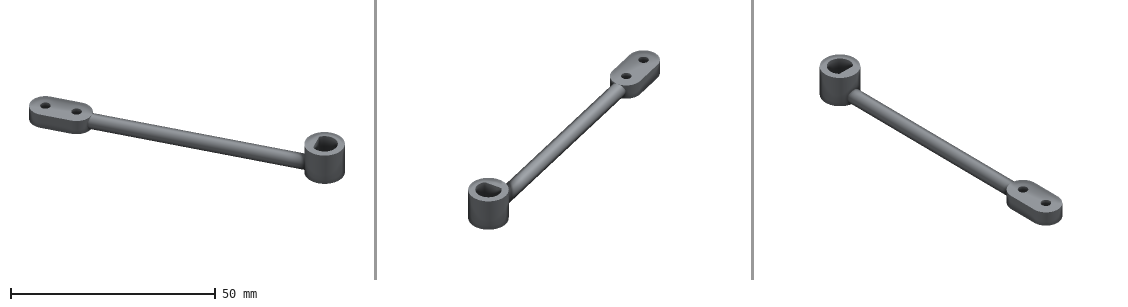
import cadquery as cq

total_length = 81.0
thickness = 4.0

plate_length = 16.0
plate_width = 8.0
plate_hole_diameter = 2.6

hub_diameter = 10.0
hub_height = 8.5
bore_diameter = 6.5
bore_flat_offset = 2.2

hub_radius = hub_diameter / 2
plate_center_x = hub_radius - total_length + plate_length / 2
hole_spacing = plate_length - plate_width


def make_plate():
    return (
        cq.Workplane("XY")
        .center(plate_center_x, 0)
        .slot2D(plate_length, plate_width)
        .extrude(thickness)
    )


def make_rod():
    """Round rod running from the plate center to the hub axis."""
    return (
        cq.Workplane("YZ", origin=(plate_center_x, 0, thickness / 2))
        .circle(thickness / 2)
        .extrude(-plate_center_x)
    )


def make_hub():
    return cq.Workplane("XY").circle(hub_radius).extrude(hub_height)


def make_plate_holes():
    return (
        cq.Workplane("XY")
        .center(plate_center_x, 0)
        .rarray(hole_spacing, 0.8, 2, 1)
        .circle(plate_hole_diameter / 2)
        .extrude(thickness)
    )


def make_bore():
    """Through bore, cut off by a flat facing the rod."""
    cylinder = cq.Workplane("XY").circle(bore_diameter / 2).extrude(hub_height)
    kept_side = (
        cq.Workplane("XY", origin=(-bore_flat_offset, 0, 0))
        .box(bore_diameter, bore_diameter, hub_height, centered=(False, True, False))
    )
    return cylinder.intersect(kept_side)


arm = make_plate().union(make_rod()).union(make_hub())
result = arm.cut(make_plate_holes()).cut(make_bore())